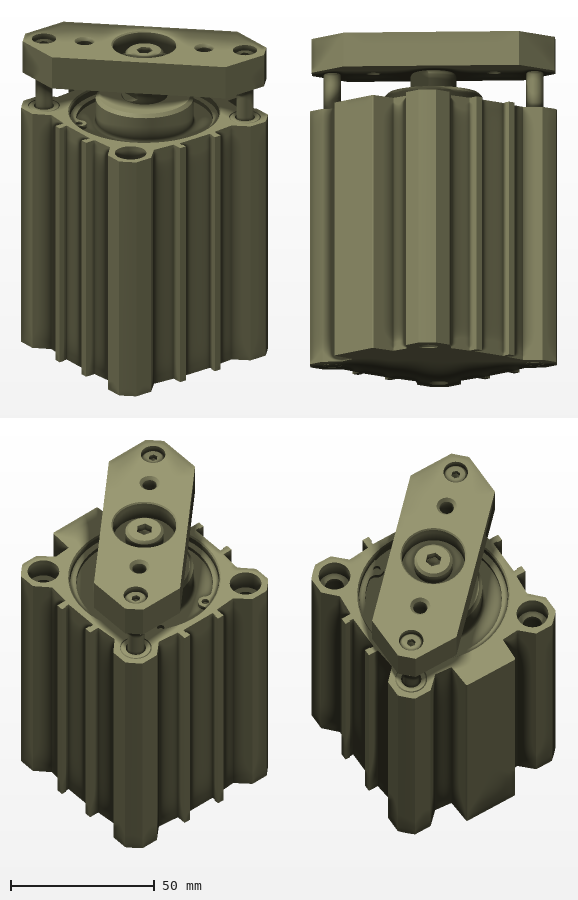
import cadquery as cq
import math

total_height = 115.0
housing_height = 89.5
plate_thickness = 12.0
plate_bottom = total_height - plate_thickness
cover_top = 95.7
snap_ring_depth = 2.5
snap_ring_thickness = 1.5
cover_flange_top = housing_height - snap_ring_depth - snap_ring_thickness
cover_flange_thickness = 11.5
cover_bottom = cover_flange_top - cover_flange_thickness

housing_half = 32.49
corner_arc_end = 28.2
ear_end = 21.7
web_corner = 16.9
web_corner_depth = 27.8
web_depth = 28.5
slot_floor_depth = 28.9
rib_tip_depth = 32.2
rib_outer = 8.9
rib_inner = 6.7
hook_inner = 6.3
hook_depth = 30.4
boss_depth = 37.55
boss_tip_half = 10.1
boss_base_half = 10.6
boss_corner_radius = 0.6
mount_pitch = 25.0
mount_hole_diameter = 6.7
mount_counterbore_diameter = 11.0
mount_counterbore_depth = 7.2
cover_bore_diameter = 52.2
cover_bore_mouth_diameter = 53.1
cover_bore_mouth_depth = 0.6

collar_diameter = 34.0
collar_chamfer = 1.2
collar_foot_radius = 1.0

snap_ring_outer_radius = 25.9
snap_ring_inner_radius = 23.8
lug_x = 10.1
lug_y = 20.8
lug_radius = 2.5
lug_hole_diameter = 2.5
lug_blend_radius = 2.5

plate_half = 32.2
plate_tip_chamfer = 4.5
plate_flank_end = 10.9
tapped_hole_pitch = 14.8
tapped_hole_diameter = 5.0
tapped_hole_mouth_diameter = 7.0
bolt_recess_diameter = 22.1
bolt_recess_mouth_diameter = 23.0
bolt_recess_depth = 7.2
bolt_clearance_diameter = 8.5
screw_recess_diameter = 8.5
screw_recess_depth = 5.6
screw_clearance_diameter = 4.5

rod_diameter = 16.0
rod_top_round = 1.6
rod_flat_width = 13.0
rod_flat_bottom = 97.3
bolt_shank_diameter = 8.0
bolt_head_diameter = 13.3
bolt_head_top = 112.8
bolt_head_chamfer = 0.9
bolt_socket_width = 5.0
bolt_socket_depth = 2.9

guide_rod_diameter = 6.0
guide_rod_chamfer = 0.3
screw_shank_diameter = 4.0
screw_head_diameter = 8.0
screw_head_top = 113.4
screw_head_chamfer = 0.7
screw_socket_width = 2.8
screw_socket_depth = 1.7
socket_turn = 45.0
socket_point_angle = 120.0

bushing_bore_diameter = 7.0
bushing_chamfer = 0.5


def cylinder(diameter, bottom, top, x=0.0, y=0.0):
    return cq.Workplane("XY", origin=(x, y, bottom)).circle(diameter / 2).extrude(top - bottom)


def cone(bottom_diameter, top_diameter, bottom, top, x=0.0, y=0.0):
    solid = cq.Solid.makeCone(bottom_diameter / 2, top_diameter / 2, top - bottom, cq.Vector(x, y, bottom))
    return cq.Workplane(solid)


def hex_socket(width, depth, top, x=0.0, y=0.0):
    """Hexagonal recess with a pointed bottom, one corner turned towards the plate's long axis."""
    point_depth = width / 2 / math.tan(math.radians(socket_point_angle / 2))
    hexagon = (
        cq.Workplane("XY", origin=(x, y, top - depth))
        .transformed(rotate=(0, 0, socket_turn))
        .polygon(6, width / math.cos(math.pi / 6))
        .extrude(depth)
    )
    return hexagon.union(cone(0, width, top - depth - point_depth, top - depth, x, y))


def diagonal_points(pitch):
    """The two points on the plate's long axis."""
    return [(-pitch, -pitch), (pitch, pitch)]


def corner_points(pitch):
    return diagonal_points(pitch) + [(-pitch, pitch), (pitch, -pitch)]


def make_housing_core():
    """Extruded square section with four ears; each side is drawn once and turned about Z."""
    arc_middle = math.hypot(housing_half, corner_arc_end) / math.sqrt(2)
    outline = cq.Workplane("XY").moveTo(corner_arc_end, -housing_half)
    for quarter in range(4):
        angle = math.radians(90 * quarter)

        def turned(x, y):
            return (
                x * math.cos(angle) - y * math.sin(angle),
                x * math.sin(angle) + y * math.cos(angle),
            )

        outline = outline.threePointArc(turned(arc_middle, -arc_middle), turned(housing_half, -corner_arc_end))
        for point in [
            (housing_half, -ear_end),
            (web_corner_depth, -web_corner),
            (web_depth, -rib_outer),
            (web_depth, rib_outer),
            (web_corner_depth, web_corner),
            (housing_half, ear_end),
            (housing_half, corner_arc_end),
        ]:
            outline = outline.lineTo(*turned(*point))
    return outline.close().extrude(housing_height)


def make_slot_ribs():
    """Pair of hooked ribs that form a T-slot on the +X side."""
    ribs = cq.Workplane("XY")
    for side in (1, -1):
        rib = (
            cq.Workplane("XY")
            .polyline(
                [
                    (web_corner_depth, side * rib_outer),
                    (rib_tip_depth, side * rib_outer),
                    (rib_tip_depth, side * hook_inner),
                    (hook_depth, side * hook_inner),
                    (hook_depth, side * rib_inner),
                    (web_corner_depth, side * rib_inner),
                ]
            )
            .close()
            .extrude(housing_height)
        )
        ribs = ribs.add(rib)
    slot_floor = (
        cq.Workplane("XY")
        .box(slot_floor_depth - web_corner_depth, 2 * rib_outer, housing_height, centered=(False, True, False))
        .translate((web_corner_depth, 0, 0))
    )
    return slot_floor.union(ribs.combine())


def make_boss():
    boss = (
        cq.Workplane("XY")
        .polyline(
            [
                (-boss_base_half, web_corner_depth),
                (-boss_tip_half, boss_depth),
                (boss_tip_half, boss_depth),
                (boss_base_half, web_corner_depth),
            ]
        )
        .close()
        .extrude(housing_height)
    )
    return boss.edges("|Z and >Y").fillet(boss_corner_radius)


def make_housing():
    housing = make_housing_core().union(make_boss())
    for angle in (0, 180, 270):
        housing = housing.union(make_slot_ribs().rotate((0, 0, 0), (0, 0, 1), angle))
    housing = housing.cut(cylinder(cover_bore_diameter, cover_bottom, housing_height))
    mouth_bottom = housing_height - cover_bore_mouth_depth
    housing = housing.cut(cone(cover_bore_diameter, cover_bore_mouth_diameter, mouth_bottom, housing_height))
    for x, y in corner_points(mount_pitch):
        housing = housing.cut(cylinder(mount_hole_diameter, 0, housing_height, x, y))
        counterbore_bottom = housing_height - mount_counterbore_depth
        housing = housing.cut(cylinder(mount_counterbore_diameter, counterbore_bottom, housing_height, x, y))
    return housing


def make_cover():
    """Flange in the housing bore with a raised collar around the piston rod."""
    cover = cylinder(cover_bore_diameter, cover_bottom, cover_flange_top)
    collar = cylinder(collar_diameter, cover_flange_top, cover_top).faces(">Z").chamfer(collar_chamfer)
    flange_top_point = (0, 0, cover_flange_top)
    cover = cover.union(collar).edges(cq.selectors.NearestToPointSelector(flange_top_point))
    cover = cover.fillet(collar_foot_radius)
    return cover.cut(cylinder(rod_diameter, cover_bottom, cover_top))


def make_snap_ring():
    """Open ring with an eyed lug at each end, symmetric about the YZ plane."""
    lug_distance = math.hypot(lug_x, lug_y)
    lug_angle = math.atan2(-lug_y, lug_x)
    end_angle = lug_angle - math.asin(lug_radius / lug_distance)
    tangent_distance = math.sqrt(lug_distance**2 - lug_radius**2)
    blend_distance = snap_ring_inner_radius - lug_blend_radius
    lug_to_blend = lug_radius + lug_blend_radius
    blend_cosine = (blend_distance**2 + lug_distance**2 - lug_to_blend**2) / (2 * blend_distance * lug_distance)
    blend_angle = lug_angle + math.acos(blend_cosine)

    def polar(radius, angle):
        return cq.Vector(radius * math.cos(angle), radius * math.sin(angle))

    lug_center = polar(lug_distance, lug_angle)
    blend_center = polar(blend_distance, blend_angle)
    outer_end = polar(snap_ring_outer_radius, end_angle)
    lug_tangent = polar(tangent_distance, end_angle)
    lug_crown = polar(lug_distance - lug_radius, lug_angle)
    lug_blend_point = lug_center + (blend_center - lug_center).normalized() * lug_radius
    ring_blend_point = polar(snap_ring_inner_radius, blend_angle)
    blend_chord_middle = (lug_blend_point + ring_blend_point) * 0.5
    blend_middle = blend_center + (blend_chord_middle - blend_center).normalized() * lug_blend_radius

    def right(point):
        return (point.x, point.y)

    def left(point):
        return (-point.x, point.y)

    ring = (
        cq.Workplane("XY", origin=(0, 0, cover_flange_top))
        .moveTo(*left(outer_end))
        .threePointArc((0, snap_ring_outer_radius), right(outer_end))
        .lineTo(*right(lug_tangent))
        .threePointArc(right(lug_crown), right(lug_blend_point))
        .threePointArc(right(blend_middle), right(ring_blend_point))
        .threePointArc((0, snap_ring_inner_radius), left(ring_blend_point))
        .threePointArc(left(blend_middle), left(lug_blend_point))
        .threePointArc(left(lug_crown), left(lug_tangent))
        .close()
        .extrude(snap_ring_thickness)
    )
    ring_top = cover_flange_top + snap_ring_thickness
    for x in (lug_x, -lug_x):
        ring = ring.cut(cylinder(lug_hole_diameter, cover_flange_top, ring_top, x, -lug_y))
    return ring


def make_plate():
    tip = plate_half - plate_tip_chamfer
    plate = (
        cq.Workplane("XY", origin=(0, 0, plate_bottom))
        .polyline(
            [
                (plate_half, plate_flank_end),
                (plate_half, tip),
                (tip, plate_half),
                (plate_flank_end, plate_half),
                (-plate_half, -plate_flank_end),
                (-plate_half, -tip),
                (-tip, -plate_half),
                (-plate_flank_end, -plate_half),
            ]
        )
        .close()
        .extrude(plate_thickness)
    )

    def cut_mouth(body, diameter, mouth_diameter, x=0.0, y=0.0):
        depth = (mouth_diameter - diameter) / 2
        return body.cut(cone(diameter, mouth_diameter, total_height - depth, total_height, x, y))

    plate = plate.cut(cylinder(bolt_clearance_diameter, plate_bottom, total_height))
    plate = plate.cut(cylinder(bolt_recess_diameter, total_height - bolt_recess_depth, total_height))
    plate = cut_mouth(plate, bolt_recess_diameter, bolt_recess_mouth_diameter)
    for x, y in diagonal_points(mount_pitch):
        plate = plate.cut(cylinder(screw_clearance_diameter, plate_bottom, total_height, x, y))
        screw_recess_bottom = total_height - screw_recess_depth
        plate = plate.cut(cylinder(screw_recess_diameter, screw_recess_bottom, total_height, x, y))
    for x, y in diagonal_points(tapped_hole_pitch):
        plate = plate.cut(cylinder(tapped_hole_diameter, plate_bottom, total_height, x, y))
        plate = cut_mouth(plate, tapped_hole_diameter, tapped_hole_mouth_diameter, x, y)
    return plate


def make_piston_rod():
    """Rod with two wrench flats, and the socket head bolt that clamps the plate to it."""
    rod = cylinder(rod_diameter, cover_bottom, plate_bottom).faces(">Z").edges().fillet(rod_top_round)
    flat_half = rod_flat_width / 2
    flat_runout = rod_flat_bottom - (rod_diameter / 2 - flat_half)
    for side in (1, -1):
        flat_cut = (
            cq.Workplane("YZ")
            .polyline(
                [
                    (side * flat_half, plate_bottom),
                    (side * flat_half, rod_flat_bottom),
                    (side * rod_diameter / 2, flat_runout),
                    (side * rod_diameter / 2, plate_bottom),
                ]
            )
            .close()
            .extrude(rod_diameter / 2, both=True)
        )
        rod = rod.cut(flat_cut)
    head_bottom = total_height - bolt_recess_depth
    head = cylinder(bolt_head_diameter, head_bottom, bolt_head_top).faces(">Z").chamfer(bolt_head_chamfer)
    rod = rod.union(cylinder(bolt_shank_diameter, plate_bottom, head_bottom)).union(head)
    return rod.cut(hex_socket(bolt_socket_width, bolt_socket_depth, bolt_head_top))


def make_guide_rod(x, y):
    """Guide rod and the socket head screw that clamps it to the plate."""
    rod = cylinder(guide_rod_diameter, 0, plate_bottom, x, y).faces(">Z").chamfer(guide_rod_chamfer)
    head_bottom = total_height - screw_recess_depth
    head = cylinder(screw_head_diameter, head_bottom, screw_head_top, x, y).faces(">Z").chamfer(screw_head_chamfer)
    rod = rod.union(cylinder(screw_shank_diameter, plate_bottom, head_bottom, x, y)).union(head)
    return rod.cut(hex_socket(screw_socket_width, screw_socket_depth, screw_head_top, x, y))


def make_bushing(x, y):
    bottom = housing_height - mount_counterbore_depth
    bushing = cylinder(mount_counterbore_diameter, bottom, housing_height, x, y).faces(">Z").chamfer(bushing_chamfer)
    return bushing.cut(cylinder(bushing_bore_diameter, bottom, housing_height, x, y))


housing = make_housing()
cover = make_cover()
snap_ring = make_snap_ring()
plate = make_plate()
piston_rod = make_piston_rod()
guide_rods = [make_guide_rod(x, y) for x, y in diagonal_points(mount_pitch)]
bushings = [make_bushing(x, y) for x, y in diagonal_points(mount_pitch)]

result = cq.Compound.makeCompound(
    [
        housing.val(),
        cover.val(),
        snap_ring.val(),
        plate.val(),
        piston_rod.val(),
        *[guide_rod.val() for guide_rod in guide_rods],
        *[bushing.val() for bushing in bushings],
    ]
)